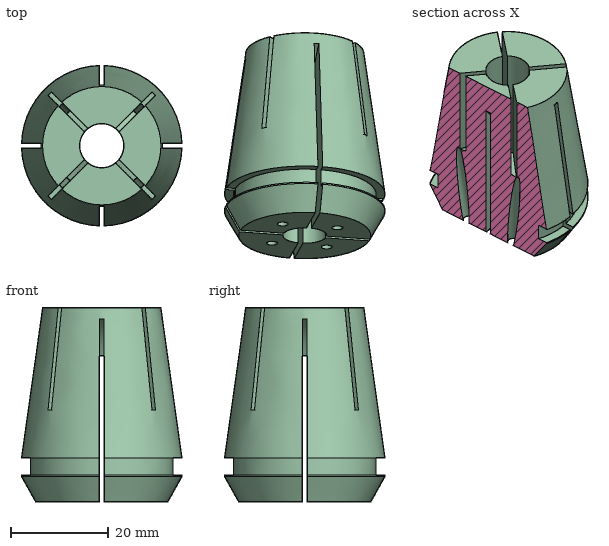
import cadquery as cq
import math

height = 40.0
rim_radius = 16.5
bottom_radius = 13.6
rim_bottom_z = 5.25
rim_top_z = 5.5
groove_radius = 14.7
groove_top_z = 9.1
taper_angle = 8.0
bore_radius = 4.5

slot_count = 4
slot_spacing = 360 / slot_count
upper_slot_start = slot_spacing / 2
slot_width = 1.0
saw_radius = 16.0
lower_saw_center_r = 18.85
lower_saw_center_z = 22.9
upper_saw_center_r = 13.2
upper_saw_center_z = 34.85

hole_diameter = 2.2
hole_end_r = 10.8
hole_end_z = 19.2
hole_tilt = 8.0

overrun = 4.0

top_radius = rim_radius - (height - groove_top_z) * math.tan(math.radians(taper_angle))


def collet_body():
    profile = [
        (bore_radius, 0),
        (bottom_radius, 0),
        (rim_radius, rim_bottom_z),
        (rim_radius, rim_top_z),
        (groove_radius, rim_top_z),
        (groove_radius, groove_top_z),
        (rim_radius, groove_top_z),
        (top_radius, height),
        (bore_radius, height),
    ]
    return cq.Workplane("XZ").polyline(profile).close().revolve(360, (0, 0), (0, 1))


def upper_slot():
    """Slot open at the top, its floor rising on both sides of the blade center."""
    inner_z = upper_saw_center_z - math.sqrt(saw_radius**2 - upper_saw_center_r**2)
    outer_r = 2 * upper_saw_center_r
    return (
        cq.Workplane("XZ")
        .moveTo(0, height + overrun)
        .lineTo(0, inner_z)
        .threePointArc((upper_saw_center_r, upper_saw_center_z - saw_radius), (outer_r, inner_z))
        .lineTo(outer_r, height + overrun)
        .close()
        .extrude(slot_width / 2, both=True)
    )


def inclined_hole():
    tilt = math.radians(hole_tilt)
    down_axis = cq.Vector(-math.sin(tilt), 0, -math.cos(tilt))
    length = hole_end_z / math.cos(tilt) + overrun
    end = cq.Vector(hole_end_r, 0, hole_end_z)
    return cq.Workplane(cq.Solid.makeCylinder(hole_diameter / 2, length, end, down_axis))


def lower_slot():
    """Slot open at the bottom, its end falling from the taper to the bore."""
    inner_r = lower_saw_center_r - saw_radius
    arc_mid = math.radians(45)
    mid_r = lower_saw_center_r - saw_radius * math.cos(arc_mid)
    mid_z = lower_saw_center_z + saw_radius * math.sin(arc_mid)
    saw_top_z = lower_saw_center_z + saw_radius
    return (
        cq.Workplane("XZ")
        .moveTo(inner_r, -overrun)
        .lineTo(inner_r, lower_saw_center_z)
        .threePointArc((mid_r, mid_z), (lower_saw_center_r, saw_top_z))
        .lineTo(lower_saw_center_r, -overrun)
        .close()
        .extrude(slot_width / 2, both=True)
    )


def around_axis(shape, angle):
    return shape.rotate((0, 0, 0), (0, 0, 1), angle)


result = collet_body()
for i in range(slot_count):
    lower_angle = i * slot_spacing
    upper_angle = upper_slot_start + lower_angle
    result = result.cut(around_axis(lower_slot(), lower_angle))
    result = result.cut(around_axis(upper_slot(), upper_angle))
    result = result.cut(around_axis(inclined_hole(), upper_angle))